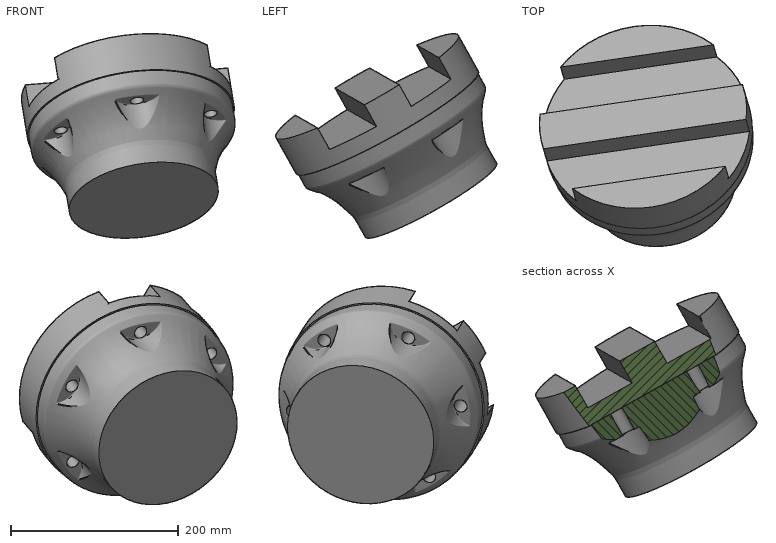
import cadquery as cq
TILT_X = -30.0
TILT_Y = -4.7
TILT_Z = 8.3

JAW_RADIUS = 125.0
JAW_HEIGHT = 50.0
GROOVE_DEPTH = 29.9
RIB_HALF_WIDTH = 24.0
GROOVE_OUTER_SIDE = 84.0

HUB_TURN = -3.2
COLLAR_RADIUS = 123.0
COLLAR_END_DEPTH = 70.8
NECK_MIDDLE_RADIUS = 102.3
NECK_MIDDLE_DEPTH = 99.0
SHAFT_RADIUS = 90.0
SHAFT_START_DEPTH = 130.5
SHAFT_END_DEPTH = 157.5
COLLAR_ROUND = 6.0
SHAFT_ROUND = 23.8

BOLT_COUNT = 6
BOLT_STEP = 360 / BOLT_COUNT
FIRST_BOLT_ANGLE = BOLT_STEP / 2
BOLT_CIRCLE_RADIUS = 104.5
BOLT_HOLE_RADIUS = 8.0
POCKET_CIRCLE_RADIUS = 125.5
POCKET_RADIUS = 29.9
POCKET_CEILING_DEPTH = 79.3
POCKET_ROUND = 1.0


def make_jaw_plate():
    plate = cq.Workplane("XY").circle(JAW_RADIUS).extrude(-JAW_HEIGHT)
    groove_middle = (RIB_HALF_WIDTH + GROOVE_OUTER_SIDE) / 2
    groove_width = GROOVE_OUTER_SIDE - RIB_HALF_WIDTH
    grooves = (
        cq.Workplane("XY")
        .pushPoints([(0, -groove_middle), (0, groove_middle)])
        .rect(2 * JAW_RADIUS, groove_width)
        .extrude(-GROOVE_DEPTH)
    )
    return plate.cut(grooves)


def make_hub_blank():
    """Collar, neck and shaft turned in one piece, with both ends of the neck rounded."""
    blank = (
        cq.Workplane("XZ")
        .moveTo(0, -JAW_HEIGHT)
        .lineTo(COLLAR_RADIUS, -JAW_HEIGHT)
        .lineTo(COLLAR_RADIUS, -COLLAR_END_DEPTH)
        .threePointArc(
            (NECK_MIDDLE_RADIUS, -NECK_MIDDLE_DEPTH),
            (SHAFT_RADIUS, -SHAFT_START_DEPTH),
        )
        .lineTo(SHAFT_RADIUS, -SHAFT_END_DEPTH)
        .lineTo(0, -SHAFT_END_DEPTH)
        .close()
        .revolve(360, (0, 0, 0), (0, 1, 0))
    )
    blank = blank.faces("%TORUS").edges(">Z").fillet(COLLAR_ROUND)
    return blank.faces("%TORUS").edges("<Z").fillet(SHAFT_ROUND)


def make_pocket_cutter():
    """Pocket with a rounded ceiling corner, open downwards, and the bolt hole above it."""
    pocket = (
        cq.Workplane("XY", origin=(POCKET_CIRCLE_RADIUS, 0, -SHAFT_END_DEPTH))
        .circle(POCKET_RADIUS)
        .extrude(SHAFT_END_DEPTH - POCKET_CEILING_DEPTH)
        .faces(">Z")
        .edges()
        .fillet(POCKET_ROUND)
    )
    hole = (
        cq.Workplane("XY", origin=(BOLT_CIRCLE_RADIUS, 0, -JAW_HEIGHT))
        .circle(BOLT_HOLE_RADIUS)
        .extrude(JAW_HEIGHT - POCKET_CEILING_DEPTH)
    )
    return pocket.union(hole)


def round_pocket_rims(hub):
    neck = max(hub.faces("%TORUS").vals(), key=lambda face: face.Area())
    rim_edges = [edge for rim in neck.innerWires() for edge in rim.Edges()]
    return hub.newObject(rim_edges).fillet(POCKET_ROUND)


def make_hub():
    hub = make_hub_blank()
    cutter = make_pocket_cutter()
    for i in range(BOLT_COUNT):
        angle = FIRST_BOLT_ANGLE + i * BOLT_STEP
        hub = hub.cut(cutter.rotate((0, 0, 0), (0, 0, 1), angle))
    return round_pocket_rims(hub).rotate((0, 0, 0), (0, 0, 1), HUB_TURN)


def tilt(body):
    body = body.rotate((0, 0, 0), (1, 0, 0), TILT_X)
    body = body.rotate((0, 0, 0), (0, 1, 0), TILT_Y)
    return body.rotate((0, 0, 0), (0, 0, 1), TILT_Z)


jaw_plate = tilt(make_jaw_plate())
hub = tilt(make_hub())

result = cq.Compound.makeCompound([jaw_plate.val(), hub.val()])